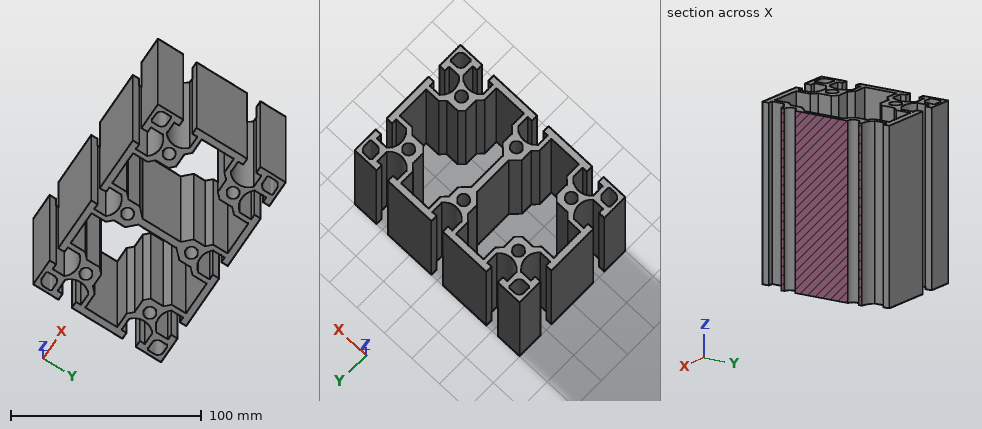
import cadquery as cq

LENGTH_X = 120.0
MODULES_X = 3
MODULES_Y = 2
MODULE = LENGTH_X / MODULES_X
LENGTH_Y = MODULE * MODULES_Y
HEIGHT = MODULE * 2.5
HALF_X = LENGTH_X / 2
HALF_Y = LENGTH_Y / 2

CORE_XS = [-MODULE, 0, MODULE]
CORE_YS = [-MODULE / 2, MODULE / 2]

OUTER_WALL = 4.0
SLOT_WALL = 2.8
WEB = 4.1

SLOT_OPENING = 8.3
SLOT_WIDTH = 14.5
SLOT_SIDE_DEPTH = 11.2
SLOT_DEPTH = 14.5

CORE_HALF = 7.0
CORE_BEVEL = 3.0
CORE_BORE = 6.8

SHOULDER_DEPTH = 13.0
FLARE_OFFSET = 3.1

POCKET_SIZE = 7.9
POCKET_WALL = 2.0
POCKET_LARGE_ROUND = 3.4
POCKET_SMALL_ROUND = 1.0

SLOT_WALL_HALF = SLOT_WIDTH / 2 + SLOT_WALL
SHOULDER_END = SHOULDER_DEPTH + SLOT_WALL_HALF - CORE_HALF


def mirror_four_ways(quarter):
    """Join a solid in the +X +Y quadrant with its images in the other three."""
    half = quarter.union(quarter.mirror("YZ"))
    return half.union(half.mirror("XZ"))


def slot_cutter():
    """T-slot with an arched floor, open at y = 0 and running toward -Y."""
    half_opening = SLOT_OPENING / 2
    half_width = SLOT_WIDTH / 2
    return (
        cq.Workplane("XY")
        .moveTo(-half_opening, 0)
        .lineTo(-half_opening, -OUTER_WALL)
        .lineTo(-half_width, -OUTER_WALL)
        .lineTo(-half_width, -SLOT_SIDE_DEPTH)
        .threePointArc((0, -SLOT_DEPTH), (half_width, -SLOT_SIDE_DEPTH))
        .lineTo(half_width, -OUTER_WALL)
        .lineTo(half_opening, -OUTER_WALL)
        .lineTo(half_opening, 0)
        .close()
        .extrude(HEIGHT)
    )


def cut_slots(body):
    """Cut a row of T-slots into each of the four sides."""
    rows = [
        (0, [(x, HALF_Y) for x in CORE_XS]),
        (180, [(x, -HALF_Y) for x in CORE_XS]),
        (90, [(-HALF_X, y) for y in CORE_YS]),
        (-90, [(HALF_X, y) for y in CORE_YS]),
    ]
    for angle, mouths in rows:
        slot = slot_cutter().rotate((0, 0, 0), (0, 0, 1), angle)
        for x, y in mouths:
            body = body.cut(slot.translate((x, y, 0)))
    return body


def cavity_quarter():
    """The +X +Y quarter of the hollow interior, from the middle web to the outer wall."""
    web_face = WEB / 2
    flare_top = MODULE / 2 - FLARE_OFFSET
    flare_bottom = flare_top - (CORE_HALF - web_face)
    ceiling = HALF_Y - OUTER_WALL
    side = HALF_X - OUTER_WALL
    shoulder_top = HALF_Y - SHOULDER_DEPTH
    shoulder_bottom = HALF_Y - SHOULDER_END
    core_left = MODULE - CORE_HALF
    core_bottom = MODULE / 2 - CORE_HALF
    top_slot_wall = MODULE - SLOT_WALL_HALF
    side_slot_wall = MODULE / 2 - SLOT_WALL_HALF
    outline = [
        (web_face, 0),
        (web_face, flare_bottom),
        (CORE_HALF, flare_top),
        (CORE_HALF, shoulder_bottom),
        (SLOT_WALL_HALF, shoulder_top),
        (SLOT_WALL_HALF, ceiling),
        (top_slot_wall, ceiling),
        (top_slot_wall, shoulder_top),
        (core_left, shoulder_bottom),
        (core_left, core_bottom + CORE_BEVEL),
        (core_left + CORE_BEVEL, core_bottom),
        (HALF_X - SHOULDER_END, core_bottom),
        (HALF_X - SHOULDER_DEPTH, side_slot_wall),
        (side, side_slot_wall),
        (side, 0),
    ]
    return cq.Workplane("XY").polyline(outline).close().extrude(HEIGHT)


def corner_pocket():
    """Through pocket in the +X +Y corner post, with large rounds on one diagonal."""
    inset = POCKET_WALL + POCKET_SIZE / 2
    return (
        cq.Workplane("XY")
        .rect(POCKET_SIZE, POCKET_SIZE)
        .extrude(HEIGHT)
        .edges("|Z and (<(1,1,0) or >(1,1,0))")
        .fillet(POCKET_LARGE_ROUND)
        .edges("|Z and (<(-1,1,0) or >(-1,1,0))")
        .fillet(POCKET_SMALL_ROUND)
        .translate((HALF_X - inset, HALF_Y - inset, 0))
    )


def core_bores():
    """Through bores along the centre of every core."""
    return (
        cq.Workplane("XY")
        .pushPoints([(x, y) for x in CORE_XS for y in CORE_YS])
        .circle(CORE_BORE / 2)
        .extrude(HEIGHT)
    )


blank = cq.Workplane("XY").rect(LENGTH_X, LENGTH_Y).extrude(HEIGHT)
profile = cut_slots(blank)
profile = profile.cut(mirror_four_ways(cavity_quarter()))
profile = profile.cut(mirror_four_ways(corner_pocket()))
result = profile.cut(core_bores())